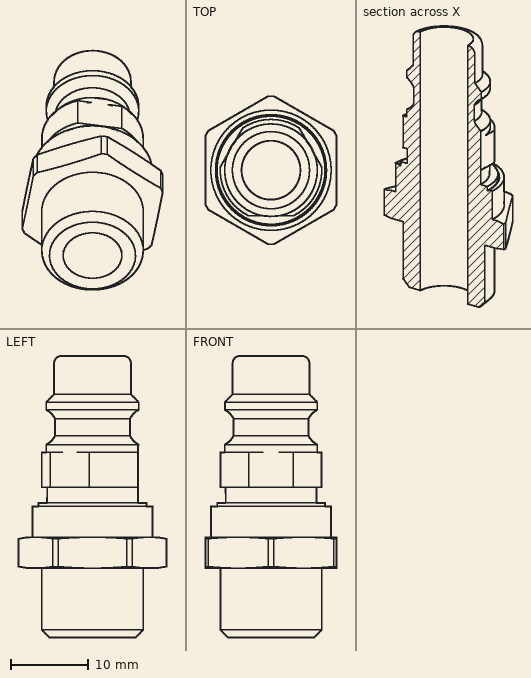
import cadquery as cq
import math

total_height = 36.5
bore_diameter = 7.6

shank_diameter = 13.16
shank_chamfer = 1.0

hex_sides = 6
hex_bottom = 9.0
hex_height = 4.0
hex_across_flats = 17.0
hex_corner_diameter = 19.2
hex_chamfer_angle = 10.0

body_diameter = 15.6
body_height = 4.0

rim_diameter = 14.0
rim_height = 0.45
mouth_bore_diameter = 14.1
mouth_chamfer = 0.15

stem_diameter = 11.8
stem_height = 2.0
collar_diameter = 13.16
collar_height = 4.55
flats_inner_radius = stem_diameter / 2
flat_directions = (30, 150, 270)

flange_diameter = 12.0
flange_height = 1.0
neck_diameter = 9.75
neck_length = 4.5
blend_sagitta = 0.12
tip_diameter = 10.0
tip_rounding = 1.0

hex_top = hex_bottom + hex_height
body_top = hex_top + body_height
rim_top = body_top + rim_height
collar_bottom = rim_top + stem_height
collar_top = collar_bottom + collar_height
lower_flange_top = collar_top + flange_height
upper_flange_bottom = lower_flange_top + neck_length
upper_flange_top = upper_flange_bottom + flange_height


def cylinder(diameter, bottom, top):
    return cq.Workplane("XY").workplane(offset=bottom).circle(diameter / 2).extrude(top - bottom)


def make_shank():
    return cylinder(shank_diameter, 0, hex_bottom).faces("<Z").chamfer(shank_chamfer)


def make_hex():
    """Hexagon with flats facing +X and -X, its corners turned and bevelled on both faces."""
    half_sector = 360 / hex_sides / 2
    circumscribed = hex_across_flats / math.cos(math.radians(half_sector))
    prism = (
        cq.Workplane("XY")
        .workplane(offset=hex_bottom)
        .polygon(hex_sides, circumscribed)
        .extrude(hex_height)
        .rotate((0, 0, 0), (0, 0, 1), half_sector)
    )
    flat_radius = hex_across_flats / 2
    corner_radius = hex_corner_diameter / 2
    bevel_drop = (corner_radius - flat_radius) * math.tan(math.radians(hex_chamfer_angle))
    turned_blank = (
        cq.Workplane("XZ")
        .moveTo(0, hex_bottom)
        .lineTo(flat_radius, hex_bottom)
        .lineTo(corner_radius, hex_bottom + bevel_drop)
        .lineTo(corner_radius, hex_top - bevel_drop)
        .lineTo(flat_radius, hex_top)
        .lineTo(0, hex_top)
        .close()
        .revolve(360, (0, 0), (0, 1))
    )
    return prism.intersect(turned_blank)


def make_body():
    """Round body with a chamfered groove in its top face, around the raised inner rim."""
    body = cylinder(body_diameter, hex_top, body_top)
    rim_radius = rim_diameter / 2
    mouth_radius = mouth_bore_diameter / 2
    groove = (
        cq.Workplane("XZ")
        .moveTo(rim_radius, body_top)
        .lineTo(rim_radius, body_top - mouth_chamfer)
        .lineTo(mouth_radius, body_top - mouth_chamfer)
        .lineTo(mouth_radius + mouth_chamfer, body_top)
        .close()
        .revolve(360, (0, 0), (0, 1))
    )
    return body.cut(groove).union(cylinder(rim_diameter, hex_top, rim_top))


def make_plug_tip():
    """Revolved tip: flanges blend into the neck with concave arcs, the end is rounded."""
    flange_radius = flange_diameter / 2
    neck_radius = neck_diameter / 2
    tip_radius = tip_diameter / 2
    blend = flange_radius - neck_radius
    shoulder_top = upper_flange_top + flange_radius - tip_radius
    rounding_offset = tip_rounding * (1 - math.sqrt(0.5))
    return (
        cq.Workplane("XZ")
        .moveTo(0, collar_top)
        .lineTo(flange_radius, collar_top)
        .lineTo(flange_radius, lower_flange_top)
        .sagittaArc((neck_radius, lower_flange_top + blend), blend_sagitta)
        .lineTo(neck_radius, upper_flange_bottom - blend)
        .sagittaArc((flange_radius, upper_flange_bottom), blend_sagitta)
        .lineTo(flange_radius, upper_flange_top)
        .lineTo(tip_radius, shoulder_top)
        .lineTo(tip_radius, total_height - tip_rounding)
        .threePointArc(
            (tip_radius - rounding_offset, total_height - rounding_offset),
            (tip_radius - tip_rounding, total_height),
        )
        .lineTo(0, total_height)
        .close()
        .revolve(360, (0, 0), (0, 1))
    )


def cut_wrench_flats(part):
    """Mill three flats, 120 degrees apart, across the collar and the lower flange."""
    cutter_width = 2 * collar_diameter
    cutter_height = lower_flange_top - collar_bottom
    for direction in flat_directions:
        cutter = (
            cq.Workplane("XY")
            .box(collar_diameter, cutter_width, cutter_height, centered=(False, True, False))
            .translate((flats_inner_radius, 0, collar_bottom))
            .rotate((0, 0, 0), (0, 0, 1), direction)
        )
        part = part.cut(cutter)
    return part


stem = cylinder(stem_diameter, rim_top, collar_bottom)
collar = cylinder(collar_diameter, collar_bottom, collar_top)
upper_part = cut_wrench_flats(collar.union(make_plug_tip()))
outside = make_shank().union(make_hex()).union(make_body()).union(stem).union(upper_part)
result = outside.cut(cylinder(bore_diameter, 0, total_height))